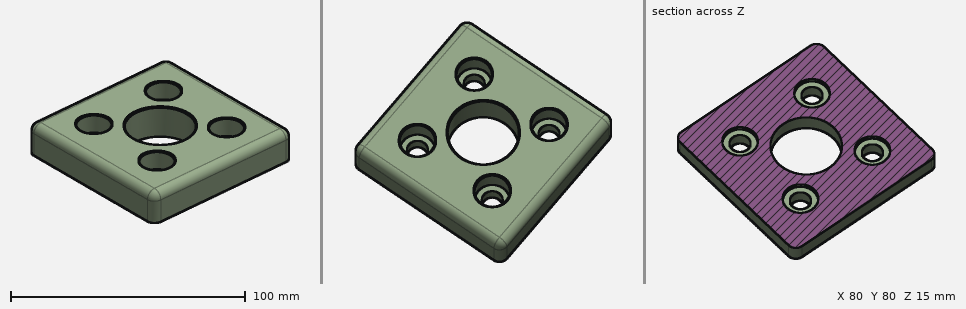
import cadquery as cq

side = 80.0
thickness = 15.0
edge_radius = 4.0

bore_diameter = 30.29

hole_spacing = 40.0
hole_diameter = 9.0
counterbore_diameter = 15.0
counterbore_depth = 9.0

mouth_chamfer = 0.5


def make_plate():
    """Square plate, bottom on Z = 0, with rounded corners and a rounded top rim."""
    plate = cq.Workplane("XY").box(side, side, thickness, centered=(True, True, False))
    plate = plate.edges("|Z").fillet(edge_radius)
    return plate.faces(">Z").edges().fillet(edge_radius)


def chamfered_cutter(diameter, depth):
    """Cylinder reaching down from the top face, flared at its upper end by the mouth chamfer."""
    cylinder = cq.Workplane("XY").workplane(offset=thickness - depth).circle(diameter / 2).extrude(depth)
    flare = (
        cq.Workplane("XY")
        .workplane(offset=thickness - mouth_chamfer)
        .circle(diameter / 2)
        .workplane(offset=mouth_chamfer)
        .circle(diameter / 2 + mouth_chamfer)
        .loft(ruled=True)
    )
    return cylinder.union(flare)


def screw_hole_cutter():
    """Through hole with a chamfered counterbore at the top, centred on the Z axis."""
    through_hole = cq.Workplane("XY").circle(hole_diameter / 2).extrude(thickness)
    return through_hole.union(chamfered_cutter(counterbore_diameter, counterbore_depth))


result = make_plate().cut(chamfered_cutter(bore_diameter, thickness))

for x_sign in (-1, 1):
    for y_sign in (-1, 1):
        hole_position = (x_sign * hole_spacing / 2, y_sign * hole_spacing / 2, 0)
        result = result.cut(screw_hole_cutter().translate(hole_position))